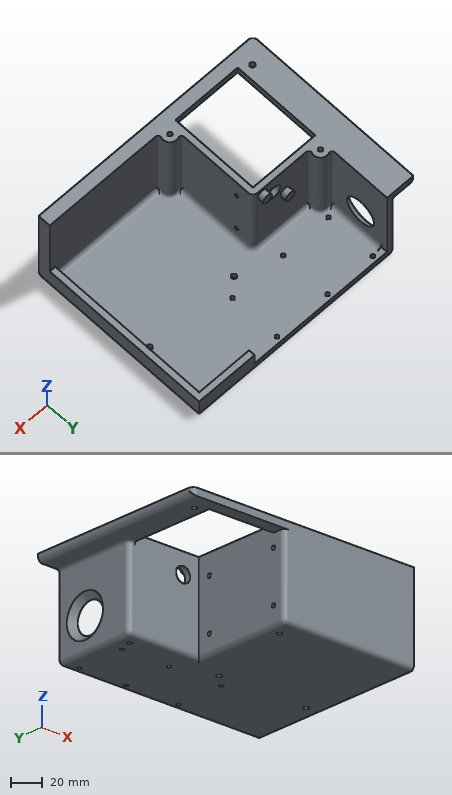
import cadquery as cq
import math

LENGTH = 190.0
DEPTH = 145.0
HEIGHT = 71.0

WALL = 5.0
FLOOR = 5.0
FRONT_WALL = 10.0
FLANGE_THICKNESS = 5.9
LOW_RIM_TOP = 15.0
LOW_RIM_LENGTH = 49.2

BLOCK_LEFT = 18.5
WINDOW_WIDTH = 55.1
WINDOW_DEPTH = 70.0
WINDOW_LEFT = BLOCK_LEFT + WALL
WINDOW_RIGHT = WINDOW_LEFT + WINDOW_WIDTH
WINDOW_BACK = FRONT_WALL + WINDOW_DEPTH
TRAY_CORNER_X = WINDOW_RIGHT + WALL
TRAY_CORNER_Y = WINDOW_BACK + WALL
TRAY_RIGHT = LENGTH - WALL
TRAY_BACK = DEPTH - WALL
FLANGE_BOTTOM = HEIGHT - FLANGE_THICKNESS

BLOCK_RADIUS = 3.6
TRAY_CORNER_RADIUS = 4.4
FLANGE_RADIUS = 4.0
FOOT_RADIUS = 2.0

SCREW_OFFSET = 5.0
COLUMN_RADIUS = 6.0
COLUMN_SCREW_DIAMETER = 3.5
COLUMN_CENTERS = [
    (WINDOW_LEFT + SCREW_OFFSET, TRAY_CORNER_Y + SCREW_OFFSET),
    (TRAY_CORNER_X + SCREW_OFFSET, FRONT_WALL + SCREW_OFFSET),
]

SCREW_DIAMETER = 4.0
FLANGE_SCREW_X = 15.2
FLOOR_SCREW_XS = (105.0, 179.7)
BOARD_SCREW_DIAMETER = 3.0
BOARD_SCREW_XS = (32.0, 72.0, 116.8)
BOARD_SCREW_YS = (100.7, 140.8)

PORT_DIAMETER = 24.0
PORT_Y = 121.0
PORT_Z = 26.0
PORT_TAPER = 45
SIDE_SCREW_DIAMETER = 3.0
SIDE_SCREW_YS = (10.0, 70.1)
SIDE_SCREW_ZS = (15.0, 55.0)

BUTTON_DIAMETER = 12.0
BUTTON_X = 65.2
BUTTON_Z = 55.0
PEG_DIAMETER = 8.0
PEG_LENGTH = 5.0
PEG_OFFSET = 10.0


def box(x0, x1, y0, y1, z0, z1):
    """Box given by its limits along each axis."""
    return cq.Workplane("XY").box(x1 - x0, y1 - y0, z1 - z0, centered=False).translate((x0, y0, z0))


def l_prism(left, right, front, back, corner_x, corner_y, bottom, top):
    """L-shaped prism: a rectangle without its front left corner."""
    outline = [
        (left, corner_y),
        (corner_x, corner_y),
        (corner_x, front),
        (right, front),
        (right, back),
        (left, back),
    ]
    return cq.Workplane("XY").workplane(offset=bottom).polyline(outline).close().extrude(top - bottom)


def vertical_cylinder(x, y, diameter):
    """Cylinder over the whole height."""
    return cq.Workplane("XY").center(x, y).circle(diameter / 2).extrude(HEIGHT)


def along_x(x, y, z, diameter, length):
    """Cylinder that starts at a point and runs toward +X."""
    return cq.Workplane("YZ", origin=(x, y, z)).circle(diameter / 2).extrude(length)


def along_y(x, y, z, diameter, length):
    """Cylinder that starts at a point and runs toward +Y."""
    return cq.Workplane("XZ", origin=(x, y, z)).circle(diameter / 2).extrude(-length)


def nearest_edges(body, points):
    """Edges of a body closest to the given points."""
    return [body.edges(cq.selectors.NearestToPointSelector(point)).val() for point in points]


def make_block():
    """Solid L-shaped block with rounded outer corners and bottom edges."""
    block = l_prism(BLOCK_LEFT, LENGTH, 0, DEPTH, WINDOW_RIGHT, WINDOW_BACK, 0, HEIGHT)
    points = [
        (BLOCK_LEFT, WINDOW_BACK, HEIGHT / 2),
        (WINDOW_RIGHT, 0, HEIGHT / 2),
        (BLOCK_LEFT, (WINDOW_BACK + DEPTH) / 2, 0),
        ((BLOCK_LEFT + WINDOW_RIGHT) / 2, WINDOW_BACK, 0),
        (WINDOW_RIGHT, WINDOW_BACK / 2, 0),
        ((WINDOW_RIGHT + LENGTH) / 2, 0, 0),
    ]
    return cq.Workplane(block.val().fillet(BLOCK_RADIUS, nearest_edges(block, points)))


def make_flange():
    """Top plate, rounded along its lower left edge and around its front left corner."""
    plate = box(0, TRAY_CORNER_X, 0, DEPTH, FLANGE_BOTTOM, HEIGHT)
    rounded_edge = plate.faces("<X").edges("<Z").fillet(FLANGE_RADIUS)
    rounded_corner = plate.faces("<X").edges("<Y").fillet(FLANGE_RADIUS)
    return rounded_edge.intersect(rounded_corner)


def make_window():
    """Opening through the flange inside the L of the block."""
    return box(WINDOW_LEFT, WINDOW_RIGHT, FRONT_WALL, WINDOW_BACK, FLANGE_BOTTOM, HEIGHT)


def join_flange(block):
    """Join block and flange, open the window and blend the flange into the left of the block."""
    body = block.union(make_flange()).cut(make_window())
    left_joint = nearest_edges(body, [(BLOCK_LEFT, (WINDOW_BACK + DEPTH) / 2, FLANGE_BOTTOM)])
    return cq.Workplane(body.val().fillet(FOOT_RADIUS, left_joint))


def make_tray_shape():
    """Plain space inside the tray, with a rounded corner at the inside of the L."""
    tray = l_prism(
        WINDOW_LEFT, TRAY_RIGHT, FRONT_WALL, TRAY_BACK, TRAY_CORNER_X, TRAY_CORNER_Y, FLOOR, HEIGHT
    )
    corner = nearest_edges(tray, [(TRAY_CORNER_X, TRAY_CORNER_Y, HEIGHT / 2)])
    return cq.Workplane(tray.val().fillet(TRAY_CORNER_RADIUS, corner))


def round_walls(tray):
    """Round the floor edges along the tall walls."""
    points = [
        (WINDOW_LEFT, (TRAY_CORNER_Y + TRAY_BACK) / 2, FLOOR),
        ((TRAY_CORNER_X + TRAY_RIGHT) / 2, FRONT_WALL, FLOOR),
        (TRAY_CORNER_X, (FRONT_WALL + TRAY_CORNER_Y) / 2, FLOOR),
    ]
    return cq.Workplane(tray.val().fillet(BLOCK_RADIUS, nearest_edges(tray, points)))


def leave_columns(tray):
    """Leave the screw columns standing, blended into the walls and the floor."""
    for x, y in COLUMN_CENTERS:
        corner_fill = box(x - SCREW_OFFSET, x, y - SCREW_OFFSET, y, FLOOR, HEIGHT)
        tray = tray.cut(vertical_cylinder(x, y, 2 * COLUMN_RADIUS)).cut(corner_fill)
        wall_reach = math.sqrt(COLUMN_RADIUS**2 - SCREW_OFFSET**2)
        wall_joints = [
            (x - SCREW_OFFSET, y + wall_reach, HEIGHT / 2),
            (x + wall_reach, y - SCREW_OFFSET, HEIGHT / 2),
        ]
        tray = cq.Workplane(tray.val().fillet(FOOT_RADIUS, nearest_edges(tray, wall_joints)))
    x, y = COLUMN_CENTERS[0]
    column_foot = nearest_edges(tray, [(x + COLUMN_RADIUS, y, FLOOR)])
    return cq.Workplane(tray.val().fillet(FOOT_RADIUS, column_foot))


def make_tray():
    """Space inside the tray and above its low rims."""
    shape = make_tray_shape()
    tray = round_walls(shape).intersect(leave_columns(shape))
    back_opening = box(WINDOW_LEFT, LENGTH - LOW_RIM_LENGTH, TRAY_BACK, DEPTH, FLOOR, HEIGHT)
    above_back_rim = box(WINDOW_LEFT, LENGTH, TRAY_BACK, DEPTH, LOW_RIM_TOP, HEIGHT)
    above_right_rim = box(TRAY_RIGHT, LENGTH, FRONT_WALL, DEPTH, LOW_RIM_TOP, HEIGHT)
    return tray.union(back_opening).union(above_back_rim).union(above_right_rim)


def make_port():
    """Round port in the left wall, a cone that narrows inward."""
    outer_radius = PORT_DIAMETER / 2 + WALL * math.tan(math.radians(PORT_TAPER))
    rim = cq.Workplane("YZ", origin=(BLOCK_LEFT, PORT_Y, PORT_Z)).circle(outer_radius)
    return rim.extrude(WALL, taper=PORT_TAPER)


def make_holes():
    """All screw holes and the button hole."""
    row_y = COLUMN_CENTERS[0][1]
    holes = vertical_cylinder(FLANGE_SCREW_X, COLUMN_CENTERS[1][1], SCREW_DIAMETER)
    for x, y in COLUMN_CENTERS:
        holes = holes.add(vertical_cylinder(x, y, COLUMN_SCREW_DIAMETER))
    for x in FLOOR_SCREW_XS:
        holes = holes.add(vertical_cylinder(x, row_y, SCREW_DIAMETER))
    for x in BOARD_SCREW_XS:
        for y in BOARD_SCREW_YS:
            holes = holes.add(vertical_cylinder(x, y, BOARD_SCREW_DIAMETER))
    for y in SIDE_SCREW_YS:
        for z in SIDE_SCREW_ZS:
            holes = holes.add(along_x(WINDOW_RIGHT, y, z, SIDE_SCREW_DIAMETER, WALL))
    return holes.add(along_y(BUTTON_X, WINDOW_BACK, BUTTON_Z, BUTTON_DIAMETER, WALL)).combine()


def make_pegs():
    """Two pegs on the tray side of the wall, diagonally across the button hole."""
    pegs = cq.Workplane("XY")
    for offset in (-PEG_OFFSET, PEG_OFFSET):
        start_y = WINDOW_BACK + WALL / 2
        pegs = pegs.add(
            along_y(BUTTON_X + offset, start_y, BUTTON_Z + offset, PEG_DIAMETER, WALL / 2 + PEG_LENGTH)
        )
    return pegs.combine()


result = (
    join_flange(make_block())
    .cut(make_tray())
    .cut(make_port())
    .union(make_pegs())
    .cut(make_holes())
)